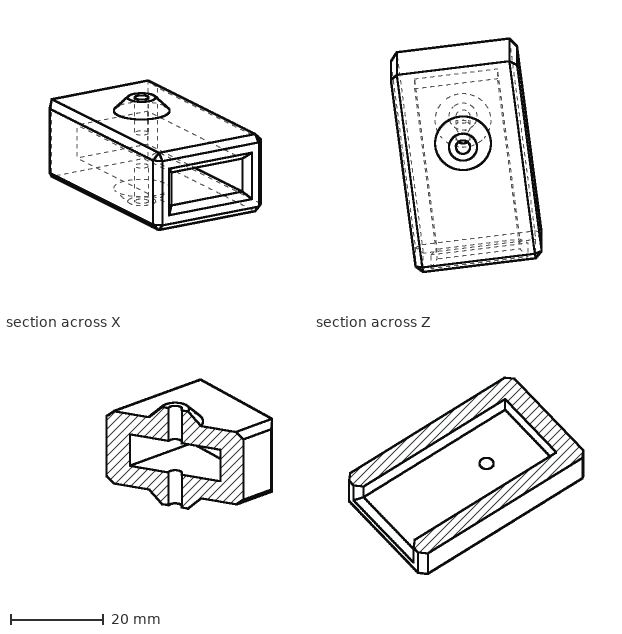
import cadquery as cq
import math

span_x = 51.15
turn_angle = -30.0
block_width = 27.35
block_height = 17.5
chamfer = 1.5
turn = math.radians(abs(turn_angle))
flat_end_width = block_width - 2 * chamfer
block_length = (span_x - flat_end_width * math.sin(turn)) / math.cos(turn)

pivot_to_closed_end = 17.0
hole_diameter = 3.0
overall_height = 23.5
boss_height = (overall_height - block_height) / 2
boss_top_diameter = 2 * hole_diameter
boss_base_diameter = boss_top_diameter + 2 * boss_height

pocket_width = 17.95
pocket_height = 7.45
closed_end_wall = (block_height - pocket_height) / 2
pocket_depth = block_length - closed_end_wall
mouth_chamfer = 1.55

closed_end_x = -pivot_to_closed_end
open_end_x = closed_end_x + block_length


def make_block():
    """Box with every edge chamfered except the closed end's top and bottom edges."""
    block = cq.Workplane("XY").box(block_length, block_width, block_height)
    block = block.translate((closed_end_x + block_length / 2, 0, 0))
    chamfered_edges = block.edges("|X or |Z or (|Y and >X)")
    return chamfered_edges.chamfer(chamfer)


def make_boss():
    """Truncated cone standing on the top face."""
    base_z = block_height / 2
    return (
        cq.Workplane("XY", origin=(0, 0, base_z))
        .circle(boss_base_diameter / 2)
        .workplane(offset=boss_height)
        .circle(boss_top_diameter / 2)
        .loft()
    )


def make_pocket():
    """Rectangular pocket with a 45 degree flared mouth."""
    pocket = (
        cq.Workplane("YZ", origin=(open_end_x, 0, 0))
        .rect(pocket_width, pocket_height)
        .extrude(-pocket_depth)
    )
    mouth = (
        cq.Workplane("YZ", origin=(open_end_x, 0, 0))
        .rect(pocket_width + 2 * mouth_chamfer, pocket_height + 2 * mouth_chamfer)
        .workplane(offset=-mouth_chamfer)
        .rect(pocket_width, pocket_height)
        .loft(ruled=True)
    )
    return pocket.union(mouth)


top_boss = make_boss()
bottom_boss = top_boss.mirror("XY")
pivot_hole = cq.Workplane("XY").circle(hole_diameter / 2).extrude(block_height, both=True)

body = make_block().union(top_boss).union(bottom_boss)
body = body.cut(make_pocket()).cut(pivot_hole)
result = body.rotate((0, 0, 0), (0, 0, 1), turn_angle)